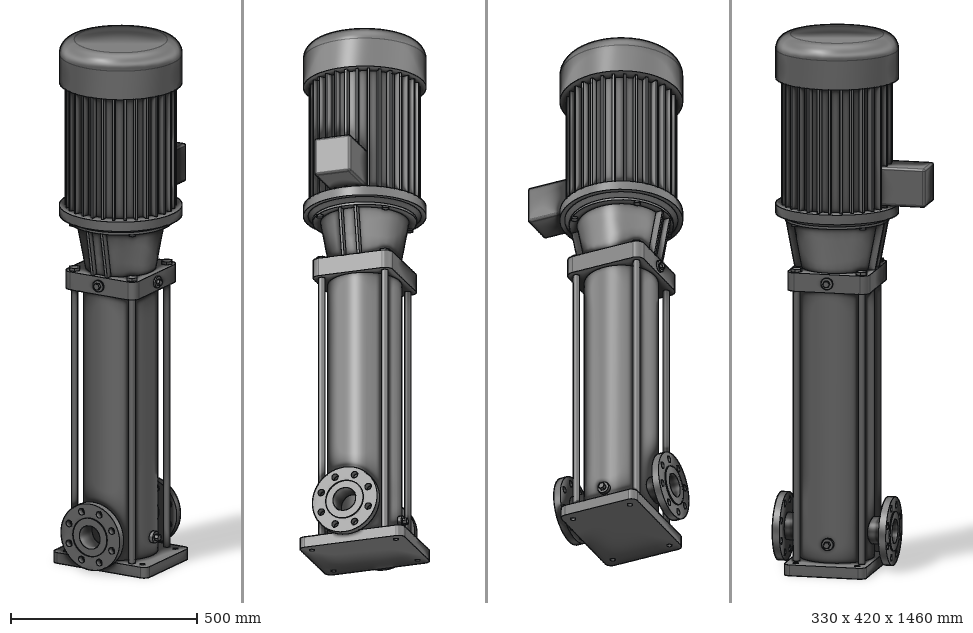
import cadquery as cq
import math


base_length_x = 298
base_length_y = 226
base_height = 30
base_corner_radius = 18
base_hole_diameter = 14
base_hole_spacing_x = 240
base_hole_spacing_y = 170

column_diameter = 200
rod_diameter = 18
rod_offset = 90
nut_across_flats = 27
nut_height = 8

port_height = 105
port_face_distance = 160
pipe_diameter = 74
bore_diameter = 65
raised_face_diameter = 107
raised_face_height = 3
flange_diameter = 185
flange_thickness = 20
flange_bolt_circle = 145
flange_hole_diameter = 18
flange_hole_count = 8

head_bottom = 773
head_top = 823
head_width = 226
head_corner_radius = 22

plug_collar_diameter = 32
plug_head_across_flats = 16
head_plug_collar = 5
head_plug_head = 8
drain_plug_height = 82
drain_plug_collar = 10
drain_plug_head = 12

lantern_top = 953
lantern_bottom_diameter = 190
lantern_top_diameter = 238
rib_spacing = 44
rib_thickness = 7
rib_reach_bottom = 111
rib_reach_top = 136

ring_diameter = 280
ring_taper_start = 960
ring_upper_diameter = 304
motor_flange_bottom = 971
motor_flange_top = 997
motor_diameter = 330
mount_bolt_circle = 265
mount_bolt_diameter = 18
mount_bolt_height = 5
mount_bolt_count = 4
mount_bolt_start_angle = 45

fin_count = 30
fin_thickness = 6
fin_diameter = 298
motor_core_diameter = 258
cover_bottom = 1340
total_height = 1460
cover_edge_radius = 40

box_width = 102
box_bottom = 1006
box_top = 1111
box_reach = 255
box_edge_radius = 6


def cylinder(diameter, bottom, top):
    return cq.Workplane("XY").workplane(offset=bottom).circle(diameter / 2).extrude(top - bottom)


def rounded_plate(length_x, length_y, corner_radius, bottom, top):
    plate = cq.Workplane("XY").workplane(offset=bottom).rect(length_x, length_y).extrude(top - bottom)
    return plate.edges("|Z").fillet(corner_radius)


def hexagon(across_flats):
    """Corner-to-corner diameter of a regular hexagon."""
    return across_flats / math.cos(math.pi / 6)


def make_base():
    base = rounded_plate(base_length_x, base_length_y, base_corner_radius, 0, base_height)
    return (
        base.faces(">Z").workplane()
        .rect(base_hole_spacing_x, base_hole_spacing_y, forConstruction=True).vertices()
        .hole(base_hole_diameter)
    )


def make_tie_rods():
    rods = (
        cq.Workplane("XY").workplane(offset=base_height)
        .rect(2 * rod_offset, 2 * rod_offset, forConstruction=True).vertices()
        .circle(rod_diameter / 2).extrude(head_bottom - base_height)
    )
    nuts = (
        cq.Workplane("XY").workplane(offset=head_top)
        .rect(2 * rod_offset, 2 * rod_offset, forConstruction=True).vertices()
        .polygon(6, hexagon(nut_across_flats)).extrude(nut_height)
    )
    return rods.union(nuts)


def make_port():
    """Flanged pipe toward -Y; its bore ends on the column wall."""
    face = cq.Workplane("XZ", origin=(0, -port_face_distance, port_height))
    pipe = face.circle(pipe_diameter / 2).extrude(-port_face_distance)
    raised_face = face.circle(raised_face_diameter / 2).extrude(-raised_face_height)
    flange_plane = face.workplane(offset=-raised_face_height)
    flange = flange_plane.circle(flange_diameter / 2).extrude(-flange_thickness)
    half_pitch = 180 / flange_hole_count
    bolt_holes = (
        face.polarArray(flange_bolt_circle / 2, half_pitch, 360, flange_hole_count)
        .circle(flange_hole_diameter / 2).extrude(-raised_face_height - flange_thickness)
    )
    bore = face.circle(bore_diameter / 2).extrude(-port_face_distance)
    port = pipe.union(raised_face).union(flange).cut(bolt_holes).cut(bore)
    return port.cut(cylinder(column_diameter, 0, head_bottom))


def make_plug(seat_distance, height, collar, head):
    """Screw plug pointing toward +X from a seat at the given distance from the axis."""
    axis_plane = cq.Workplane("YZ", origin=(0, 0, height))
    collar_start = seat_distance / 2
    collar_part = (
        axis_plane.workplane(offset=collar_start)
        .circle(plug_collar_diameter / 2).extrude(seat_distance + collar - collar_start)
    )
    head_part = (
        axis_plane.workplane(offset=seat_distance + collar)
        .polygon(6, hexagon(plug_head_across_flats)).extrude(head)
    )
    return collar_part.union(head_part)


def make_lantern():
    cone = (
        cq.Workplane("XY").workplane(offset=head_top).circle(lantern_bottom_diameter / 2)
        .workplane(offset=lantern_top - head_top).circle(lantern_top_diameter / 2).loft()
    )
    rib_profile = [
        (-rib_reach_bottom, head_top),
        (rib_reach_bottom, head_top),
        (rib_reach_top, lantern_top),
        (-rib_reach_top, lantern_top),
    ]
    rib = cq.Workplane("YZ").polyline(rib_profile).close().extrude(rib_thickness / 2, both=True)
    lantern = cone
    for side in (-1, 1):
        lantern = lantern.union(rib.translate((side * rib_spacing / 2, 0, 0)))
    return lantern


def make_motor_mount():
    profile = [
        (0, lantern_top),
        (ring_diameter / 2, lantern_top),
        (ring_diameter / 2, ring_taper_start),
        (ring_upper_diameter / 2, motor_flange_bottom),
        (motor_diameter / 2, motor_flange_bottom),
        (motor_diameter / 2, motor_flange_top),
        (0, motor_flange_top),
    ]
    mount = cq.Workplane("XZ").polyline(profile).close().revolve(360, (0, 0, 0), (0, 1, 0))
    bolts = (
        cq.Workplane("XY").workplane(offset=lantern_top - mount_bolt_height)
        .polarArray(mount_bolt_circle / 2, mount_bolt_start_angle, 360, mount_bolt_count)
        .circle(mount_bolt_diameter / 2).extrude(mount_bolt_height)
    )
    return mount.union(bolts)


def make_motor_body():
    core = cylinder(motor_core_diameter, motor_flange_top, cover_bottom)
    fin_root = motor_core_diameter / 2 - fin_thickness
    fin_tip = fin_diameter / 2
    fins = (
        cq.Workplane("XY").workplane(offset=motor_flange_top)
        .polarArray((fin_root + fin_tip) / 2, 90, 360, fin_count)
        .rect(fin_tip - fin_root, fin_thickness).extrude(cover_bottom - motor_flange_top)
    )
    cover = cylinder(motor_diameter, cover_bottom, total_height)
    cover = cover.faces(">Z").edges().fillet(cover_edge_radius)
    return core.union(fins).union(cover)


def make_terminal_box():
    box_root = motor_core_diameter / 4
    box = cq.Workplane("XY").box(
        box_width, box_reach - box_root, box_top - box_bottom, centered=(True, False, False)
    )
    box = box.edges("|Y").fillet(box_edge_radius).faces(">Y").edges().fillet(box_edge_radius)
    return box.translate((0, box_root, box_bottom))


column = cylinder(column_diameter, base_height, head_bottom)
head_plate = rounded_plate(head_width, head_width, head_corner_radius, head_bottom, head_top)
result = make_base().union(column).union(head_plate).union(make_tie_rods())

port = make_port()
for angle in (0, 180):
    result = result.union(port.rotate((0, 0, 0), (0, 0, 1), angle))

vent_plug = make_plug(head_width / 2, (head_bottom + head_top) / 2, head_plug_collar, head_plug_head)
for angle in (-90, 0):
    result = result.union(vent_plug.rotate((0, 0, 0), (0, 0, 1), angle))

drain_plug = make_plug(column_diameter / 2, drain_plug_height, drain_plug_collar, drain_plug_head)
for angle in (0, 180):
    result = result.union(drain_plug.rotate((0, 0, 0), (0, 0, 1), angle))

result = result.union(make_lantern()).union(make_motor_mount())
result = result.union(make_motor_body()).union(make_terminal_box())